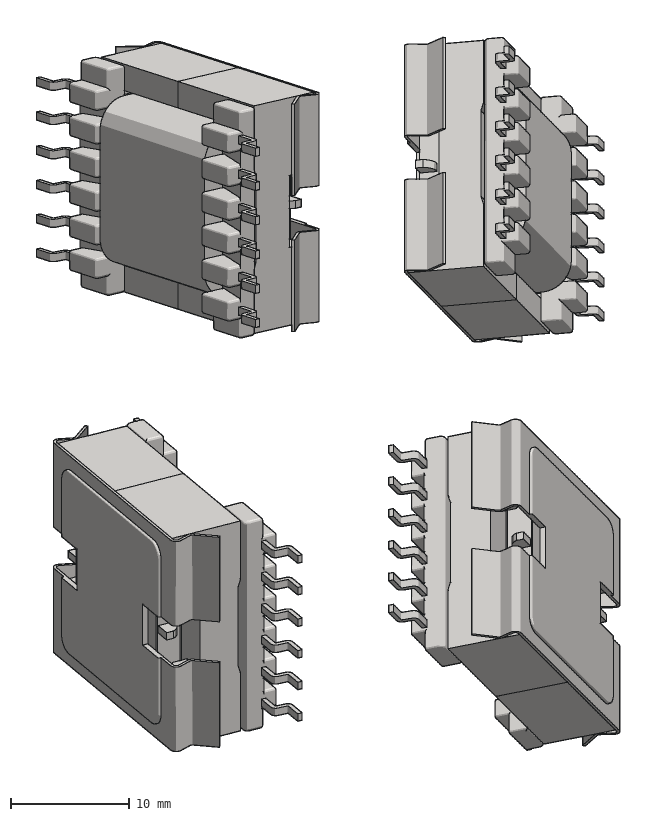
import cadquery as cq
import math


core_half_length = 9.95
core_half_width = 10.0
core_front = 3.52
core_back = 10.15
window_half_length = 7.7
leg_inner = 7.68
post_half_width = 4.45
post_back = 7.45
front_groove_depth = 0.23
front_groove_floor_half = 3.78
front_groove_mouth_half = 4.47
back_groove_half = 3.15
end_wall_chamfer = 1.3

winding_half_length = 6.82
winding_half_width = 7.3
winding_front = 0.7
winding_back = 9.97
winding_corner = 2.6

tube_half_width = 4.5
tube_front = 3.38
tube_back = 7.5
tube_wall = 0.43
flange_thickness = 0.3
flange_outer = winding_half_length + flange_thickness
flange_lead_in = 0.3

latch_tip = 8.6
latch_half_width = 0.35
latch_top = 9.9
latch_shoulder = 9.25
latch_bottom = 8.45

rail_inner = winding_half_length
rail_outer = 10.5
rail_back = tube_front
rail_front = 1.58
rail_half_length = core_half_width
rail_back_round = 0.45
edge_round = 0.25
floor_drop = 1.15

pegs_per_side = 6
peg_front = 0.3
peg_width = 1.8
peg_pitch = 2.95

pin_pitch = 3.0
pin_width = 0.72
pin_thickness = 0.43
pin_tip = 14.32
pin_exit_y = 1.6
pin_leg_top = 12.35
pin_leg_bottom = 12.43
pin_bend = 0.25
pin_root = 0.3

clip_thickness = 0.25
clip_tip_x = 11.6
clip_tip_y = 6.47
clip_contact_x = 10.03
clip_contact_y = 8.4
clip_fold_x = 10.75
clip_bend = 0.4
clip_slot_half = 1.95
clip_slot_end = 5.73
panel_half_length = 8.48
panel_half_width = 8.7
panel_corner = 1.3
panel_edge_round = 0.15
panel_back = 10.65


def block(x0, x1, y0, y1, z0, z1):
    """Box between two opposite corners."""
    return cq.Workplane("XY").box(x1 - x0, y1 - y0, z1 - z0, centered=False).translate((x0, y0, z0))


def prism_along_z(points, half_width):
    """Prism with an (X, Y) polygon section, centred on Z = 0."""
    return cq.Workplane("XY", origin=(0, 0, -half_width)).polyline(points).close().extrude(2 * half_width)


def row_positions(count, pitch):
    """Z positions of a row centred on Z = 0."""
    return [(i - (count - 1) / 2) * pitch for i in range(count)]


def mirrored(body, side):
    """The body itself on the +X side, or its mirror image on the -X side."""
    return body if side > 0 else body.mirror("YZ")


def tube_block(half_length, wall):
    """Rectangular prism around the post, grown by the given wall."""
    half_width = tube_half_width + wall
    return block(-half_length, half_length, tube_front - wall, tube_back + wall, -half_width, half_width)


def make_core_half(side):
    """E-shaped half with outer legs of full depth and a shallower, flat centre post."""
    core = block(0, core_half_length, core_front, core_back, -core_half_width, core_half_width)
    window = block(0, window_half_length, core_front, core_back, -leg_inner, leg_inner)
    post = block(0, window_half_length, core_front, post_back, -post_half_width, post_half_width)
    core = core.cut(window).union(post)
    back_groove = block(0, core_half_length, post_back, core_back, -back_groove_half, back_groove_half)
    wall_chamfer = prism_along_z([
        (window_half_length, core_back - end_wall_chamfer),
        (window_half_length, core_back),
        (window_half_length + end_wall_chamfer, core_back),
    ], leg_inner)
    groove_floor = core_front + front_groove_depth
    front_groove = (
        cq.Workplane("YZ")
        .polyline([
            (core_front, -front_groove_mouth_half),
            (groove_floor, -front_groove_floor_half),
            (groove_floor, front_groove_floor_half),
            (core_front, front_groove_mouth_half),
        ])
        .close()
        .extrude(core_half_length)
    )
    return mirrored(core.cut(back_groove).cut(wall_chamfer).cut(front_groove), side)


def make_winding():
    """Solid coil of rounded rectangular section wound on the bobbin tube."""
    coil = block(
        -winding_half_length, winding_half_length,
        winding_front, winding_back,
        -winding_half_width, winding_half_width,
    )
    coil = coil.edges("|X").fillet(winding_corner)
    return coil.cut(tube_block(winding_half_length, tube_wall))


def make_flange_latch():
    """Small bump on the outside of the +X flange, rounded on its lower side."""
    reach = latch_tip - flange_outer
    drop = latch_shoulder - latch_bottom
    diagonal = math.sqrt(0.5)
    return (
        cq.Workplane("XY", origin=(0, 0, -latch_half_width))
        .moveTo(flange_outer, latch_top)
        .lineTo(latch_tip, latch_top)
        .lineTo(latch_tip, latch_shoulder)
        .threePointArc(
            (flange_outer + reach * diagonal, latch_shoulder - drop * diagonal),
            (flange_outer, latch_bottom),
        )
        .close()
        .extrude(2 * latch_half_width)
    )


def make_pegged_rail():
    """Rail on the +X side with its row of pegs and the sloping floors between them."""
    rail = block(rail_inner, rail_outer, rail_front, rail_back, -rail_half_length, rail_half_length)
    rail = rail.edges(">X and >Y").fillet(rail_back_round)
    rail = rail.edges("|Y or <Y").fillet(edge_round)
    row_half = (pegs_per_side - 1) / 2 * peg_pitch
    peg_root = rail_back - rail_back_round
    rail = rail.union(block(rail_inner, rail_outer, rail_front, peg_root, -row_half, row_half))
    floor_wedge = prism_along_z([
        (rail_inner, rail_front),
        (rail_outer, rail_front),
        (rail_inner, rail_front + floor_drop),
    ], row_half)
    rail = rail.cut(floor_wedge)
    for z in row_positions(pegs_per_side, peg_pitch):
        peg = block(rail_inner, rail_outer, peg_front, peg_root,
                    z - peg_width / 2, z + peg_width / 2)
        rail = rail.union(peg.edges("|Y or <Y").fillet(edge_round))
    return rail


def bent_strip(path, thickness, bend_radius, z_mid, width):
    """Sheet strip swept along an (X, Y) centre line with rounded bends; width runs along Z."""
    points = [cq.Vector(x, y, z_mid) for x, y in path]
    centre_line = cq.Wire.makePolygon(points).fillet(bend_radius)
    section_plane = cq.Plane(origin=points[0], xDir=(0, 0, 1), normal=points[1] - points[0])
    return cq.Workplane(section_plane).rect(width, thickness).sweep(cq.Workplane(centre_line))


def make_pin(z):
    """Gull-wing pin on the +X side, rooted inside its peg."""
    half = pin_thickness / 2
    path = [
        (rail_outer - pin_root, pin_exit_y),
        (pin_leg_top, pin_exit_y),
        (pin_leg_bottom, half),
        (pin_tip, half),
    ]
    return bent_strip(path, pin_thickness, pin_bend, z, pin_width)


def make_bobbin():
    """Tube, flanges, pegged rails and pins as one moulded body."""
    bobbin = tube_block(flange_outer, tube_wall)
    flange = block(winding_half_length, flange_outer, rail_front + floor_drop, winding_back,
                   -winding_half_width, winding_half_width)
    end = flange.union(make_flange_latch()).union(make_pegged_rail())
    for z in row_positions(pegs_per_side, pin_pitch):
        end = end.union(make_pin(z))
    lead_in = prism_along_z([
        (flange_outer, tube_back),
        (flange_outer, tube_back + flange_lead_in),
        (flange_outer - flange_lead_in, tube_back),
    ], tube_half_width)
    for side in (1, -1):
        bobbin = bobbin.union(mirrored(end, side))
    bobbin = bobbin.cut(tube_block(flange_outer, 0))
    for side in (1, -1):
        bobbin = bobbin.cut(mirrored(lead_in, side))
    return bobbin


def make_clip():
    """Sheet over the core's back whose slotted ends fold into spring arms gripping the core ends."""
    sheet_mid_y = core_back + clip_thickness / 2
    right_half = [
        (clip_fold_x, sheet_mid_y),
        (clip_contact_x, clip_contact_y),
        (clip_tip_x, clip_tip_y),
    ]
    left_half = [(-x, y) for x, y in reversed(right_half)]
    clip = bent_strip(left_half + right_half, clip_thickness, clip_bend, 0, 2 * core_half_width)
    panel = block(-panel_half_length, panel_half_length, core_back, panel_back,
                  -panel_half_width, panel_half_width)
    panel = panel.edges("|Y").fillet(panel_corner).faces(">Y").edges().fillet(panel_edge_round)
    clip = clip.union(panel)
    slot = block(clip_slot_end, clip_tip_x + clip_thickness, clip_tip_y - clip_thickness, panel_back,
                 -clip_slot_half, clip_slot_half)
    for side in (1, -1):
        clip = clip.cut(mirrored(slot, side))
    return clip


core_halves = [make_core_half(side) for side in (1, -1)]
winding = make_winding()
bobbin = make_bobbin()
clip = make_clip()

result = cq.Compound.makeCompound([
    *[core_half.val() for core_half in core_halves],
    winding.val(),
    bobbin.val(),
    clip.val(),
])